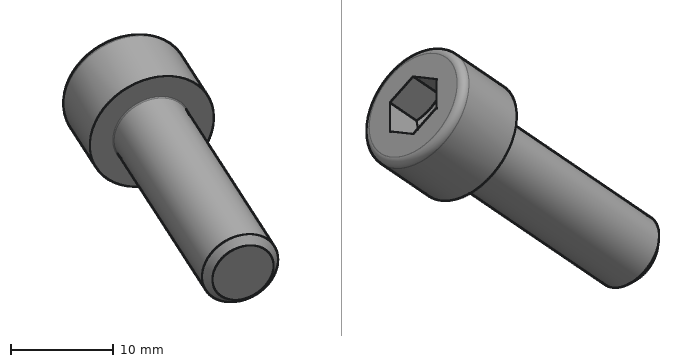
import cadquery as cq
import math

total_length = 33.0
head_length = 8.0
head_diameter = 13.0
head_rounding = 0.82
shank_diameter = 8.0
tip_chamfer = 0.8
neck_fillet = 0.1
socket_across_flats = 6.0
socket_depth = 4.0
drill_point_angle = 120.0

head_radius = head_diameter / 2
shank_radius = shank_diameter / 2
socket_corner_radius = socket_across_flats / math.sqrt(3)
drill_point_depth = socket_corner_radius / math.tan(math.radians(drill_point_angle / 2))


def make_head():
    head = cq.Workplane("YZ").circle(head_radius).extrude(head_length)
    return head.faces("<X").edges().fillet(head_rounding)


def make_shank():
    """Shank profile, with neck fillet and tapered tip, revolved about X."""
    profile = (
        cq.Workplane("XY")
        .moveTo(head_length, 0)
        .lineTo(head_length, shank_radius + neck_fillet)
        .radiusArc((head_length + neck_fillet, shank_radius), -neck_fillet)
        .lineTo(total_length - tip_chamfer, shank_radius)
        .lineTo(total_length, shank_radius - tip_chamfer)
        .lineTo(total_length, 0)
        .close()
    )
    return profile.revolve(360, (0, 0, 0), (1, 0, 0))


def make_socket():
    """Hexagonal recess, corners on Z, ending in a conical drill point."""
    socket_end = socket_depth + drill_point_depth
    hexagon = (
        cq.Workplane("YZ")
        .polygon(6, 2 * socket_corner_radius)
        .extrude(socket_end)
        .rotate((0, 0, 0), (1, 0, 0), 90)
    )
    pointed_plug = (
        cq.Workplane("XY")
        .lineTo(0, head_radius)
        .lineTo(socket_depth, head_radius)
        .lineTo(socket_depth, socket_corner_radius)
        .lineTo(socket_end, 0)
        .close()
        .revolve(360, (0, 0, 0), (1, 0, 0))
    )
    return hexagon.intersect(pointed_plug)


result = make_head().union(make_shank()).cut(make_socket())